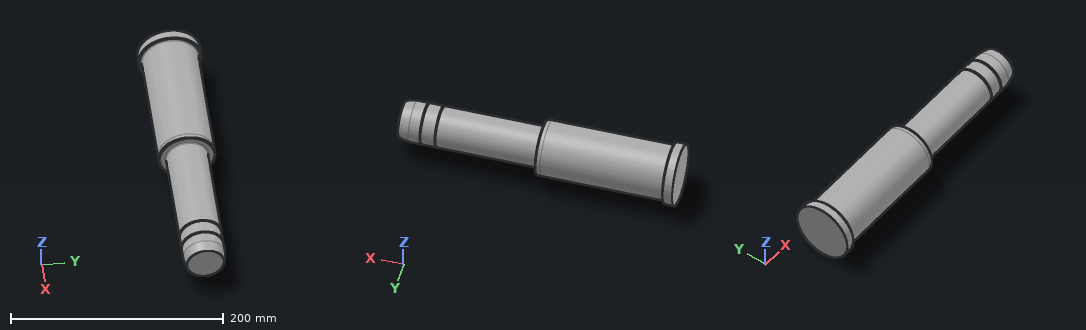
import cadquery as cq

total_length = 271.0
head_length = 10.0
body_end = 135.0
lead_in_length = 5.1
nose_length = 10.5
groove_starts = (234.0, 248.5)

lead_in_drop = 0.05

head_diameter = 60.0
body_diameter = 54.0
lead_in_diameter = body_diameter - 2 * lead_in_drop
shaft_diameter = 40.0
nose_tip_diameter = 35.2

edge_chamfer = 0.8
root_fillet = 0.8
groove_width = 0.8
groove_depth = 0.3
nose_bulge = 0.4


def make_pin():
    """Revolve the stepped half profile about the X axis."""
    head_radius = head_diameter / 2
    body_radius = body_diameter / 2
    lead_in_radius = lead_in_diameter / 2
    shaft_radius = shaft_diameter / 2
    tip_radius = nose_tip_diameter / 2
    nose_start = total_length - nose_length
    nose_middle = (
        total_length - nose_length / 2,
        (shaft_radius + tip_radius) / 2 + nose_bulge,
    )
    profile = (
        cq.Workplane("XY")
        .lineTo(0, head_radius)
        .lineTo(head_length - edge_chamfer, head_radius)
        .lineTo(head_length, head_radius - edge_chamfer)
        .lineTo(head_length, body_radius + root_fillet)
        .radiusArc((head_length + root_fillet, body_radius), -root_fillet)
        .lineTo(body_end - lead_in_length, body_radius)
        .lineTo(body_end - edge_chamfer, lead_in_radius)
        .lineTo(body_end, lead_in_radius - edge_chamfer)
        .lineTo(body_end, shaft_radius + root_fillet)
        .radiusArc((body_end + root_fillet, shaft_radius), -root_fillet)
        .lineTo(nose_start, shaft_radius)
        .threePointArc(nose_middle, (total_length, tip_radius))
        .lineTo(total_length, 0)
        .close()
    )
    return profile.revolve(360, (0, 0, 0), (1, 0, 0))


def make_groove(start):
    """Ring that cuts one shallow groove around the shaft."""
    return (
        cq.Workplane("YZ")
        .workplane(offset=start)
        .circle(shaft_diameter / 2 + groove_depth)
        .circle(shaft_diameter / 2 - groove_depth)
        .extrude(groove_width)
    )


result = make_pin()
for groove_start in groove_starts:
    result = result.cut(make_groove(groove_start))